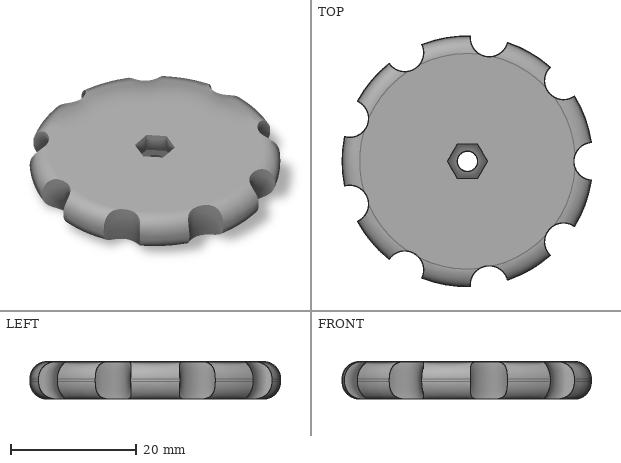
import cadquery as cq

disc_diameter = 40
disc_height = 6
rim_fillet = 2.8

scallop_count = 9
scallop_diameter = 6

bolt_hole_diameter = 3.2
hex_across_corners = 6.4
hex_depth = 3.0


def rounded_disc():
    """Disc standing on the XY plane with both rim edges rounded."""
    return cq.Workplane("XY").circle(disc_diameter / 2).extrude(disc_height).edges().fillet(rim_fillet)


def scallop_cutters():
    """Vertical cylinders spaced evenly around the rim, the first on +X."""
    return (
        cq.Workplane("XY")
        .polarArray(disc_diameter / 2, 0, 360, scallop_count)
        .circle(scallop_diameter / 2)
        .extrude(disc_height)
    )


def bolt_cutter():
    """Through hole joined with the hexagonal pocket open at the top; two hexagon corners lie along X."""
    hole = cq.Workplane("XY").circle(bolt_hole_diameter / 2).extrude(disc_height)
    pocket = (
        cq.Workplane("XY")
        .workplane(offset=disc_height - hex_depth)
        .polygon(6, hex_across_corners)
        .extrude(hex_depth)
    )
    return hole.union(pocket)


result = rounded_disc().cut(scallop_cutters()).cut(bolt_cutter())